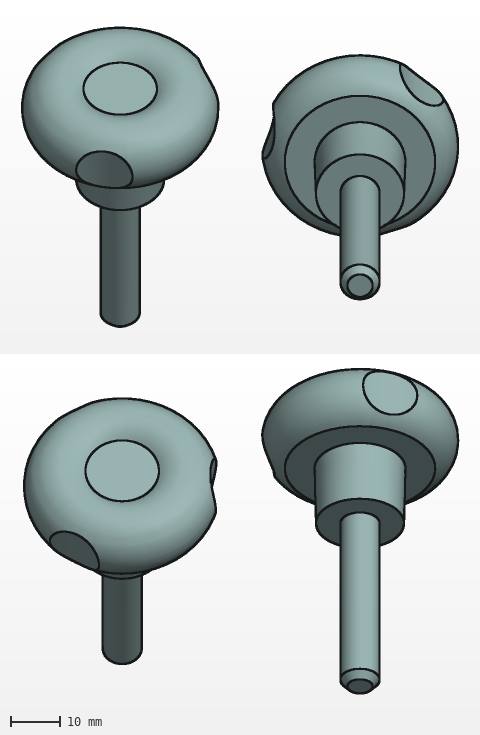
import cadquery as cq
import math

total_height = 68.0

head_radius = 20.0
rim_radius = 7.5
head_height = 14.4
dish_radius = 7.5

notch_count = 3
notch_radius = 14.95
notch_depth = 2.05
first_notch_angle = 90.0

neck_height = 13.5
neck_top_radius = 9.25
neck_bottom_radius = 9.0

pin_diameter = 8.0
tip_height = 1.6
tip_radius = 2.6

rim_center_radius = head_radius - rim_radius
rim_center_z = total_height - rim_radius
head_bottom_z = total_height - head_height
neck_bottom_z = head_bottom_z - neck_height
pin_radius = pin_diameter / 2


def rim_half_width(z):
    """Half width of the circular rim section at height z."""
    return math.sqrt(rim_radius**2 - (z - rim_center_z)**2)


def make_head():
    """Revolve the flat-bottomed, dished head about Z."""
    dish_offset = rim_center_radius - dish_radius
    dish_z = rim_center_z + math.sqrt(rim_radius**2 - dish_offset**2)
    bottom_radius = rim_center_radius + rim_half_width(head_bottom_z)
    return (
        cq.Workplane("XZ")
        .moveTo(0, head_bottom_z)
        .lineTo(bottom_radius, head_bottom_z)
        .threePointArc((head_radius, rim_center_z), (dish_radius, dish_z))
        .lineTo(0, dish_z)
        .close()
        .revolve(360, (0, 0), (0, 1))
    )


def make_notch_cutters():
    """Upright cylinders evenly spaced around the head."""
    axis_distance = head_radius - notch_depth + notch_radius
    return (
        cq.Workplane("XY", origin=(0, 0, head_bottom_z))
        .polarArray(axis_distance, first_notch_angle, 360, notch_count)
        .circle(notch_radius)
        .extrude(head_height)
    )


def make_stem():
    """Revolve the tapered neck and the pin as one profile."""
    return (
        cq.Workplane("XZ")
        .polyline([
            (0, 0),
            (tip_radius, 0),
            (pin_radius, tip_height),
            (pin_radius, neck_bottom_z),
            (neck_bottom_radius, neck_bottom_z),
            (neck_top_radius, head_bottom_z),
            (0, head_bottom_z),
        ])
        .close()
        .revolve(360, (0, 0), (0, 1))
    )


result = make_head().cut(make_notch_cutters()).union(make_stem())